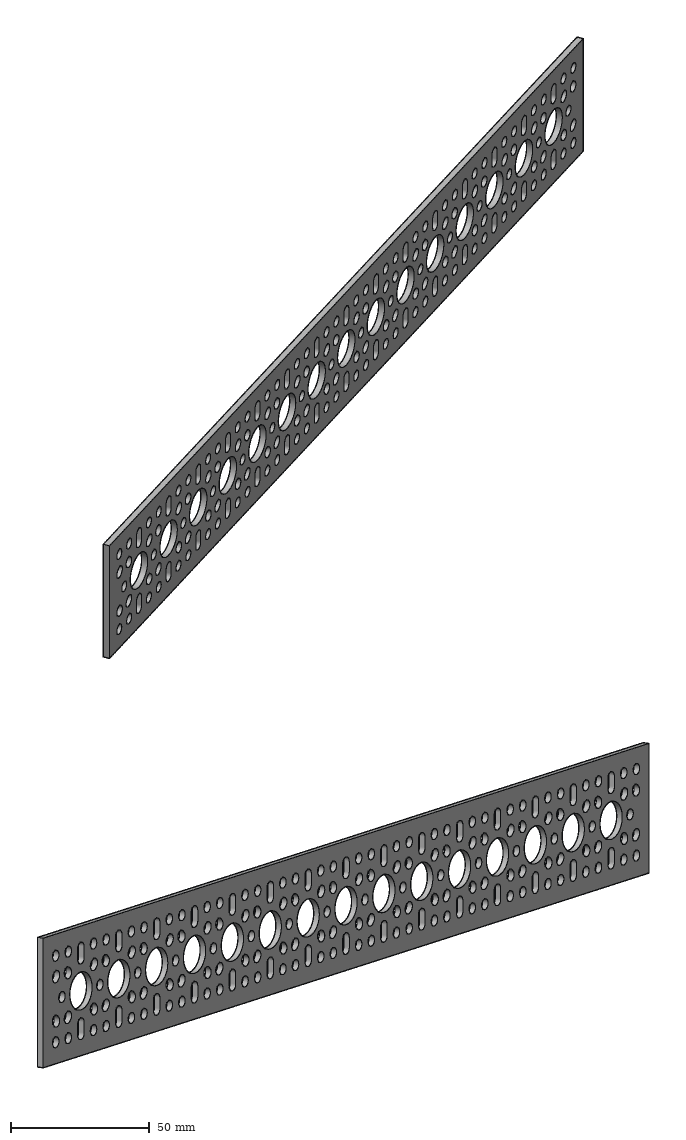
import cadquery as cq
import math

LENGTH = 384.0
THICKNESS = 2.5
CELL_COUNT = 16
BORE_WEB = 3.0

CELL = LENGTH / CELL_COUNT
HEIGHT = 2 * CELL
GRID = CELL / 3
OUTER_ROW = 2 * GRID
BOLT_CIRCLE_OFFSET = CELL / 2 * math.sqrt(0.5)

SCREW_DIAMETER = GRID / 2
SLOT_LENGTH = GRID
SLOT_CENTER = OUTER_ROW + SCREW_DIAMETER / 2 - SLOT_LENGTH / 2
BORE_RADIUS = SLOT_CENTER - SLOT_LENGTH / 2 - BORE_WEB

INNER_CENTER = (GRID + BOLT_CIRCLE_OFFSET) / 2
INNER_LENGTH = (BOLT_CIRCLE_OFFSET - GRID) * math.sqrt(2) + SCREW_DIAMETER

bore_stations = [i * CELL - LENGTH / 2 for i in range(1, CELL_COUNT)]
cell_stations = [(i + 0.5) * CELL - LENGTH / 2 for i in range(CELL_COUNT)]


def cell_points(side, row, y_offset, z_offset):
    """One point per cell, on the given side (-1 or 1) of its middle and row (-1 or 1) of the plate."""
    return [(y + side * y_offset, row * z_offset) for y in cell_stations]


def round_cutters(points, radius):
    return cq.Workplane("YZ").pushPoints(points).circle(radius).extrude(THICKNESS / 2, both=True)


def slot_cutters(points, length, angle):
    profile = cq.Workplane("YZ").pushPoints(points).slot2D(length, SCREW_DIAMETER, angle)
    return profile.extrude(THICKNESS / 2, both=True)


plate = cq.Workplane("YZ").rect(LENGTH, HEIGHT).extrude(THICKNESS / 2, both=True)

bores = round_cutters([(y, 0) for y in bore_stations], BORE_RADIUS)

middle_holes = round_cutters([(y, 0) for y in cell_stations], SCREW_DIAMETER / 2)

cutters = [bores, middle_holes]

for side in (-1, 1):
    for row in (-1, 1):
        outer_points = cell_points(side, row, GRID / 2, OUTER_ROW)
        cutters.append(round_cutters(outer_points, SCREW_DIAMETER / 2))
        inner_points = cell_points(side, row, CELL / 2 - INNER_CENTER, INNER_CENTER)
        cutters.append(slot_cutters(inner_points, INNER_LENGTH, -45 * side * row))

slot_points = [(y, row * SLOT_CENTER) for y in bore_stations for row in (-1, 1)]
cutters.append(slot_cutters(slot_points, SLOT_LENGTH, 90))

result = plate
for cutter in cutters:
    result = result.cut(cutter)